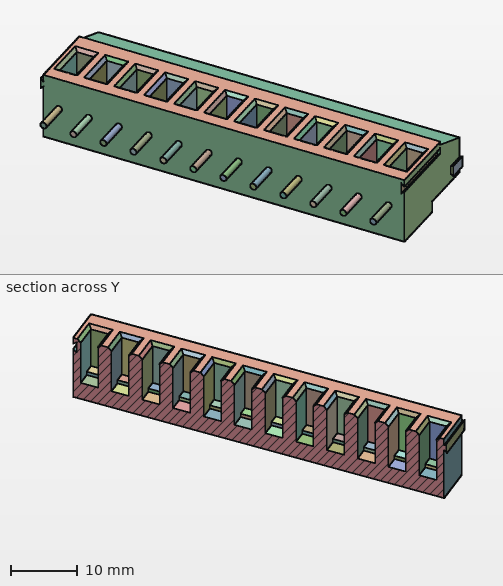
import cadquery as cq

positions = 12
pin_row_length = 55.9
pitch = pin_row_length / (positions - 1)

pin_length = 5.05
total_length = 62.2
total_depth = 23.0
height = 11.2
rib_protrusion = 0.45
tab_protrusion = 0.5
body_length = total_length - rib_protrusion - tab_protrusion
front_y = pin_length
back_y = total_depth
shoulder_y = front_y + 11.7
slope_top_z = 10.65
slope_bottom_z = 8.2
undercut_y = front_y + 9.1
undercut_z = 1.9

pin_diameter = 1.05
pin_z = 5.85
pin_root = 0.6

pocket_width = 3.9
pocket_depth_y = 6.85
pocket_front_y = front_y + 2.25
bevel = 0.55
pocket_floor_z = 3.1
ledge_z = 3.7
ledge_length = 2.1

rail_z = 9.5
rail_length = shoulder_y - front_y
groove_depth = 0.55
rail_wide = 1.85
rail_neck = 0.95
tab_z = 4.05
tab_length = 3.0
tab_neck = 1.3
slot_neck = 0.8

left_x = -body_length / 2
right_x = body_length / 2
position_xs = [(i - (positions - 1) / 2) * pitch for i in range(positions)]


def housing():
    """Side outline extruded along the full row."""
    outline = [
        (front_y, 0),
        (undercut_y, 0),
        (undercut_y, undercut_z),
        (back_y, undercut_z),
        (back_y, slope_bottom_z),
        (shoulder_y, slope_top_z),
        (shoulder_y, height),
        (front_y, height),
    ]
    return cq.Workplane("YZ", origin=(left_x, 0, 0)).polyline(outline).close().extrude(body_length)


def pocket(x):
    """Rectangular pocket with a bevelled mouth and a stepped floor."""
    inner_width = pocket_width - 2 * bevel
    inner_depth = pocket_depth_y - 2 * bevel
    center_y = pocket_front_y + pocket_depth_y / 2
    mouth = (
        cq.Workplane("XY", origin=(x, center_y, height))
        .rect(pocket_width, pocket_depth_y)
        .workplane(offset=-bevel)
        .rect(inner_width, inner_depth)
        .loft(ruled=True)
    )
    well = (
        cq.Workplane("XY", origin=(x, center_y, ledge_z))
        .rect(inner_width, inner_depth)
        .extrude(height - bevel - ledge_z)
    )
    step_y = pocket_front_y + ledge_length
    rear_y = pocket_front_y + pocket_depth_y - bevel
    deep_well = (
        cq.Workplane("XY", origin=(x, (step_y + rear_y) / 2, pocket_floor_z))
        .rect(inner_width, rear_y - step_y)
        .extrude(ledge_z - pocket_floor_z)
    )
    return mouth.union(well).union(deep_well)


def pin(x):
    """Round pin starting inside the housing and ending at Y = 0."""
    return (
        cq.Workplane("XZ", origin=(x, front_y + pin_root, pin_z))
        .circle(pin_diameter / 2)
        .extrude(pin_length + pin_root)
    )


def dovetail(neck_x, wide_x, z, neck, wide, start_y, length):
    """Prism along +Y that widens from neck_x to wide_x."""
    profile = [
        (neck_x, z - neck / 2),
        (wide_x, z - wide / 2),
        (wide_x, z + wide / 2),
        (neck_x, z + neck / 2),
    ]
    return cq.Workplane("XZ", origin=(0, start_y, 0)).polyline(profile).close().extrude(-length)


result = housing()

rib = dovetail(left_x, left_x - rib_protrusion, rail_z, rail_neck, rail_wide, front_y, rail_length)
groove = dovetail(right_x, right_x - groove_depth, rail_z, rail_neck, rail_wide, front_y, rail_length)

tab_y = back_y - tab_length
tab = dovetail(right_x, right_x + tab_protrusion, tab_z, tab_neck, rail_wide, tab_y, tab_length)
slot = dovetail(left_x, left_x + groove_depth, tab_z, slot_neck, rail_wide, tab_y, tab_length)

result = result.union(rib).union(tab).cut(groove).cut(slot)

for position_x in position_xs:
    result = result.cut(pocket(position_x)).union(pin(position_x))